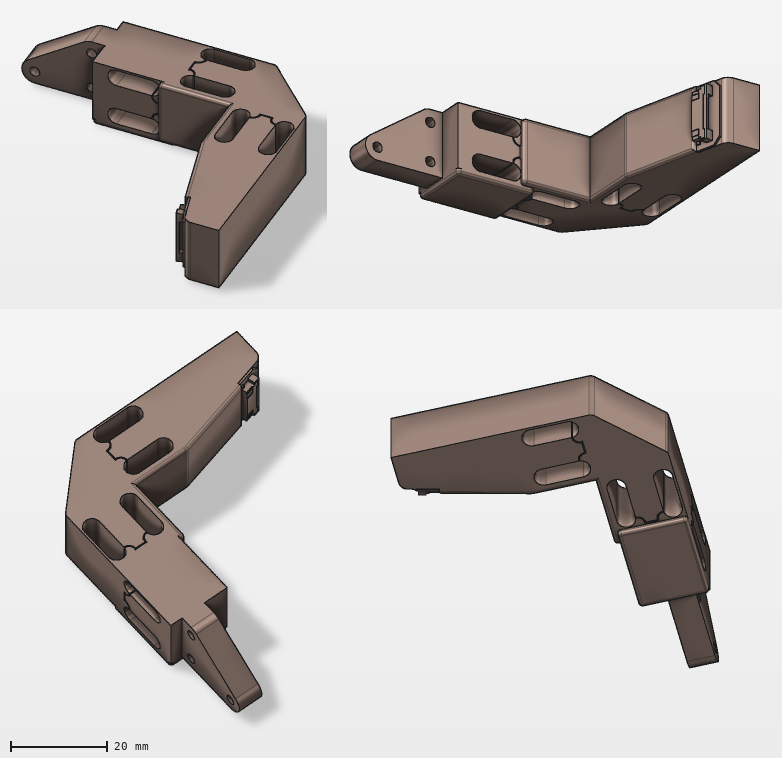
import cadquery as cq
import math

ARM = 15.0
BACK_Y = 6.0
SIDE_X = 48.0
REACH = 56.0
CORNER_CUT = 13.0
CORNER_CUT_ROUND = 1.5
TAPER_START_Y = -24.0
TAPER_ANGLE = 15.0
TIP_ROUND = 2.0

TAB_WIDTH = 6.0
TAB_RADIUS = 3.0
TAB_PIN_X = -16.0
TAB_ROOT_X = -3.0
TAB_HOLE_DIAMETER = 2.26

SLOT_LENGTH = 12.0
SLOT_WIDTH = 4.0
SLOT_SPACING = 10.0
FIRST_SLOT_START = 3.5
SECOND_SLOT_START = 19.2
THIRD_SLOT_START = -10.5
GAP = 0.25
LOBE_RADIUS = 1.5

SHEET = 0.5
COVER = 0.78
PAD = SHEET + COVER
PAD_START_X = 15.5
COVER_END = 18.85
SHEET_END = 25.2
SHEET_WIDTH = 14.8
SHEET_CORNER_CUT = 1.65
PAD_BEND_RADIUS = 3.0
PAD_CORNER_RADIUS = 0.8
BOTTOM_PAD_LENGTH = 18.94

CONNECTOR_START = 19.05
LEVER_START = 21.6
LEVER_END = 23.2
CONNECTOR_HEIGHT = 2.35
HOUSING_WIDTH = 11.0
LEVER_WIDTH = 12.5
EAR_LENGTH = 0.9
EAR_HEIGHT = 0.9
EAR_SPAN = 12.2
CABLE_WIDTH = 8.0
CABLE_HEIGHT = 1.2
CABLE_DEPTH = 1.2
LATCH_LENGTH = 1.95
LATCH_WIDTH = 2.0
LATCH_DEPTH = 0.15
LATCH_LOWER_WIDTH = 0.75
LIP_LENGTH = 0.55
LIP_DEPTH = 0.1
PANEL_WIDTH = 12.0
PANEL_NOTCH = 0.3

FRONT_Y = BACK_Y - ARM
INNER_X = SIDE_X - ARM
END_Y = BACK_Y - REACH
MID_Z = ARM / 2
TAPER = math.radians(TAPER_ANGLE)
OVERLAP = 0.2
CLEAR = 1.0


def on_taper(along, out):
    """Point at a distance along the tapered side and a height above it."""
    x = INNER_X + along * math.sin(TAPER) - out * math.cos(TAPER)
    y = TAPER_START_Y - along * math.cos(TAPER) - out * math.sin(TAPER)
    return (x, y)


def taper_block(along0, along1, out0, out1, width):
    """Block on the tapered side, centred on the arm's height."""
    corners = [on_taper(along0, out0), on_taper(along1, out0), on_taper(along1, out1), on_taper(along0, out1)]
    return cq.Workplane("XY").polyline(corners).close().extrude(width).translate((0, 0, MID_Z - width / 2))


def make_arms():
    tip_x = INNER_X + (TAPER_START_Y - END_Y) * math.tan(TAPER)
    outline = [
        (0, BACK_Y),
        (SIDE_X - CORNER_CUT, BACK_Y),
        (SIDE_X, BACK_Y - CORNER_CUT),
        (SIDE_X, END_Y),
        (tip_x, END_Y),
        (INNER_X, TAPER_START_Y),
        (INNER_X, FRONT_Y),
        (0, FRONT_Y),
    ]
    arms = cq.Workplane("XY").polyline(outline).close().extrude(ARM)
    for x, y in outline[1:3]:
        arms = arms.edges(cq.NearestToPointSelector((x, y, MID_Z))).fillet(CORNER_CUT_ROUND)
    return arms.edges(cq.NearestToPointSelector((tip_x, END_Y, MID_Z))).fillet(TIP_ROUND)


def make_tab():
    """Hinge tab: the shape swept round the pin hole and the upper root hole."""
    low_z = TAB_RADIUS
    high_z = ARM - TAB_RADIUS
    slope = math.atan2(high_z - low_z, TAB_ROOT_X - TAB_PIN_X)
    rise = (-TAB_RADIUS * math.sin(slope), TAB_RADIUS * math.cos(slope))
    tab = (
        cq.Workplane("XZ", origin=(0, TAB_WIDTH / 2, 0))
        .moveTo(OVERLAP, 0)
        .lineTo(TAB_PIN_X, 0)
        .threePointArc((TAB_PIN_X - TAB_RADIUS, low_z), (TAB_PIN_X + rise[0], low_z + rise[1]))
        .lineTo(TAB_ROOT_X + rise[0], high_z + rise[1])
        .threePointArc(
            (TAB_ROOT_X - TAB_RADIUS * math.sin(slope / 2), high_z + TAB_RADIUS * math.cos(slope / 2)),
            (TAB_ROOT_X, ARM),
        )
        .lineTo(OVERLAP, ARM)
        .close()
        .extrude(TAB_WIDTH)
    )
    holes = (
        cq.Workplane("XZ", origin=(0, TAB_WIDTH, 0))
        .pushPoints([(TAB_PIN_X, low_z), (TAB_ROOT_X, low_z), (TAB_ROOT_X, high_z)])
        .circle(TAB_HOLE_DIAMETER / 2)
        .extrude(2 * TAB_WIDTH)
    )
    return tab.cut(holes)


def slot_pair_cutter():
    """Two slots starting at X = 0 on either side of the X axis, joined by the tongue gap."""
    depth = 2 * ARM
    slots = (
        cq.Workplane("XY")
        .pushPoints([(SLOT_LENGTH / 2, SLOT_SPACING / 2), (SLOT_LENGTH / 2, -SLOT_SPACING / 2)])
        .slot2D(SLOT_LENGTH, SLOT_WIDTH)
        .extrude(depth)
    )
    slot_edge = (SLOT_SPACING - SLOT_WIDTH) / 2
    neck = slot_edge - LOBE_RADIUS

    def lobes(radius):
        return (
            cq.Workplane("XY")
            .pushPoints([(GAP, slot_edge), (GAP, -slot_edge)])
            .circle(radius)
            .extrude(depth)
        )

    between = cq.Workplane("XY").rect(SLOT_LENGTH, 2 * slot_edge).extrude(depth)
    between = between.translate((GAP + SLOT_LENGTH / 2, 0, 0))
    arcs = lobes(LOBE_RADIUS + GAP).cut(lobes(LOBE_RADIUS)).intersect(between)
    end = cq.Workplane("XY").rect(GAP, 2 * neck).extrude(depth).translate((GAP / 2, 0, 0))
    return slots.union(arcs).union(end).translate((0, 0, -depth / 2))


def cut_slots(body):
    pair = slot_pair_cutter()
    turned_back = pair.rotate((0, 0, 0), (0, 0, 1), 180)
    sideways = turned_back.rotate((0, 0, 0), (1, 0, 0), 90)
    middle_y = (BACK_Y + FRONT_Y) / 2
    middle_x = (INNER_X + SIDE_X) / 2
    body = body.cut(sideways.translate((FIRST_SLOT_START + SLOT_LENGTH, middle_y, MID_Z)))
    body = body.cut(pair.translate((SECOND_SLOT_START, middle_y, MID_Z)))
    downward = pair.rotate((0, 0, 0), (0, 0, 1), -90)
    return body.cut(downward.translate((middle_x, THIRD_SLOT_START, MID_Z)))


def make_cover_blank():
    """Strip of even thickness following the inner side of both arms and the taper."""
    bend_y = TAPER_START_Y + PAD * math.tan(TAPER / 2)
    outline = [
        (PAD_START_X, FRONT_Y),
        (PAD_START_X, FRONT_Y - PAD),
        (INNER_X - PAD, FRONT_Y - PAD),
        (INNER_X - PAD, bend_y),
        on_taper(COVER_END, PAD),
        on_taper(COVER_END, 0),
        (INNER_X, TAPER_START_Y),
        (INNER_X, FRONT_Y),
    ]
    blank = cq.Workplane("XY").polyline(outline).close().extrude(ARM)
    blank = blank.edges(cq.NearestToPointSelector((INNER_X - PAD, bend_y, MID_Z))).fillet(PAD_BEND_RADIUS)
    for z in (0, ARM):
        corner = cq.NearestToPointSelector((PAD_START_X, FRONT_Y - PAD / 2, z))
        blank = blank.edges(corner).fillet(PAD_CORNER_RADIUS)
    return blank


def make_cover():
    """Cover with the sheet below it; its outer rim is rounded by the full cover thickness."""
    cover = make_cover_blank()
    rim = [
        ((PAD_START_X + INNER_X) / 2, FRONT_Y - PAD),
        (INNER_X - PAD, (FRONT_Y + TAPER_START_Y) / 2),
        (INNER_X - PAD, TAPER_START_Y),
        on_taper(COVER_END / 2, PAD),
    ]
    points = [(PAD_START_X, FRONT_Y - PAD, MID_Z), on_taper(COVER_END, PAD) + (MID_Z,)]
    for z in (0, ARM):
        points += [(x, y, z) for x, y in rim]
    edges = [cover.edges(cq.NearestToPointSelector(point)).val() for point in points]
    return cover.newObject(edges).fillet(COVER)


def make_sheet():
    """Bare end of the sheet, with its outer corners cut off."""
    sheet = taper_block(COVER_END - OVERLAP, SHEET_END, -OVERLAP, SHEET, SHEET_WIDTH)
    x, y = on_taper(SHEET_END, SHEET / 2)
    for z in (0, ARM):
        sheet = sheet.edges(cq.NearestToPointSelector((x, y, z))).chamfer(SHEET_CORNER_CUT)
    return sheet


def make_bottom_pad():
    pad = cq.Workplane("XY").box(BOTTOM_PAD_LENGTH, ARM, PAD, centered=False).translate((0, FRONT_Y, -PAD))
    return pad.edges("|Z").fillet(PAD_CORNER_RADIUS).faces("<Z").edges().fillet(COVER)


def make_connector():
    top = CONNECTOR_HEIGHT
    above = top + CLEAR
    beyond = LEVER_END + CLEAR
    housing = taper_block(CONNECTOR_START, LEVER_START, 0, top, HOUSING_WIDTH)
    ears = taper_block(CONNECTOR_START, CONNECTOR_START + EAR_LENGTH, 0, EAR_HEIGHT, EAR_SPAN)
    lever = taper_block(LEVER_START, LEVER_END, 0, top - LIP_DEPTH, LEVER_WIDTH)
    panel_end = LEVER_END - LIP_LENGTH
    panel = taper_block(LEVER_START, panel_end, 0, top, PANEL_WIDTH)
    connector = housing.union(ears).union(lever).union(panel)

    cable_slot = taper_block(LEVER_END - CABLE_DEPTH, beyond, SHEET, SHEET + CABLE_HEIGHT, CABLE_WIDTH)
    notch = taper_block(panel_end - PANEL_NOTCH, beyond, top - LIP_DEPTH, above, CABLE_WIDTH)
    connector = connector.cut(cable_slot).cut(notch)

    latch_end = CONNECTOR_START + LATCH_LENGTH
    for width, floor in ((LATCH_WIDTH, top - LATCH_DEPTH), (LATCH_LOWER_WIDTH, top - 2 * LATCH_DEPTH)):
        recess = taper_block(CONNECTOR_START, latch_end, floor, above, width)
        offset = (HOUSING_WIDTH - width) / 2
        for side in (-1, 1):
            connector = connector.cut(recess.translate((0, 0, side * offset)))
    return connector


body = cut_slots(make_arms())
for piece in (make_tab(), make_cover(), make_sheet(), make_bottom_pad(), make_connector()):
    body = body.union(piece)
result = body